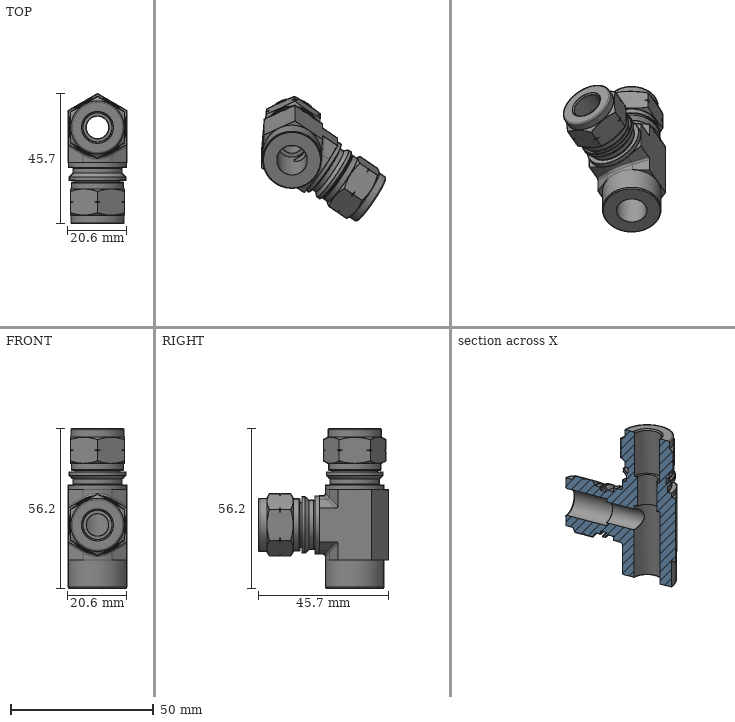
import cadquery as cq
import math

COS30 = math.cos(math.radians(30))
TAN30 = math.tan(math.radians(30))

body_flats = 20.6
body_radius = body_flats / 2
run_half_length = 12.4
branch_length = 12.4
crotch_fillet = 0.8

stub_diameter = 20.6
stub_end_z = -22.4
stub_chamfer_radial = 0.3
stub_chamfer_axial = 0.5

run_collar_diameter = 20.6
branch_collar_diameter = 20.41
collar_end = 14.0
shank_diameter = 17.4
shank_chamfer_radial = 0.15
shank_chamfer_axial = 0.4
cone_start = 16.1
flange_diameter = 19.9
flange_start = 17.4
flange_end = 18.6
flange_rim_width = 0.3
neck_diameter = 15.87
skirt_start = 19.2
skirt_diameter = 18.4
skirt_chamfer_radial = 0.15
skirt_chamfer_axial = 0.35
nut_start = 21.55
nut_end = 30.9
nut_flats = 19.0
nut_face_diameter = 18.7
crown_diameter = 18.7
arm_end = 33.83
crown_fillet = 0.5

notch_depth = 0.5
notch_half_width = 0.25

bore_diameter = 7.9
stub_bore_diameter = 10.7
stub_bore_top = stub_bore_diameter / 2
socket_diameter = 10.2
socket_depth = 17.0
socket_chamfer = 0.5


def cylinder(diameter, start, end):
    """Solid cylinder on the Z axis between two heights."""
    return cq.Workplane("XY").workplane(offset=start).circle(diameter / 2).extrude(end - start)


def revolve_about_z(points):
    """Revolve a closed (radius, height) outline around the Z axis."""
    return cq.Workplane("XZ").polyline(points).close().revolve(360, (0, 0, 0), (0, 1, 0))


def to_branch(shape):
    """Turn a shape built along +Z so that it points along -Y."""
    return shape.rotate((0, 0, 0), (1, 0, 0), 90)


def body_bar(start, end, rounded_back):
    """Hexagonal bar with flats facing +-X; the -Y corner, and the +Y one if asked, is rounded."""
    side_y = body_radius * TAN30
    tangent_x = body_radius / 2
    tangent_y = body_radius * COS30
    outline = (
        cq.Workplane("XY").workplane(offset=start)
        .moveTo(body_radius, side_y)
        .lineTo(body_radius, -side_y)
        .lineTo(tangent_x, -tangent_y)
        .threePointArc((0, -body_radius), (-tangent_x, -tangent_y))
        .lineTo(-body_radius, -side_y)
        .lineTo(-body_radius, side_y)
    )
    if rounded_back:
        outline = outline.lineTo(-tangent_x, tangent_y)
        outline = outline.threePointArc((0, body_radius), (tangent_x, tangent_y))
    else:
        outline = outline.lineTo(0, body_radius / COS30)
    return outline.close().extrude(end - start)


def make_body():
    """Run and branch bars joined, with the crotch between them filleted."""
    run = body_bar(-run_half_length, run_half_length, rounded_back=False)
    branch = to_branch(body_bar(0, branch_length, rounded_back=True))
    body = run.union(branch)
    reach = body_radius / COS30
    margin = crotch_fillet / 8
    crotch = cq.selectors.BoxSelector(
        (-body_radius + margin, -reach, -reach), (body_radius - margin, -margin, reach)
    )
    return body.edges(crotch).fillet(crotch_fillet)


def make_nut_hexagon():
    """Hexagon of the nut with both ends chamfered at 30 degrees and notched corners."""
    corner_diameter = nut_flats / COS30
    corner_radius = corner_diameter / 2
    face_radius = nut_face_diameter / 2
    chamfer_height = (corner_radius - face_radius) * TAN30
    hexagon = (
        cq.Workplane("XY").workplane(offset=nut_start)
        .polygon(6, corner_diameter).extrude(nut_end - nut_start)
        .rotate((0, 0, 0), (0, 0, 1), 30)
    )
    middle = (nut_start + nut_end) / 2
    envelope = revolve_about_z([
        (0, nut_start),
        (face_radius, nut_start),
        (corner_radius, nut_start + chamfer_height),
        (corner_radius, middle - notch_half_width),
        (corner_radius - notch_depth, middle),
        (corner_radius, middle + notch_half_width),
        (corner_radius, nut_end - chamfer_height),
        (face_radius, nut_end),
        (0, nut_end),
    ])
    return hexagon.intersect(envelope)


def make_tube_end(collar_diameter, collar_start):
    """Solid tube end along +Z: collar, shank, coned flange, neck, skirt, nut and crown."""
    shank_radius = shank_diameter / 2
    flange_radius = flange_diameter / 2
    neck_radius = neck_diameter / 2
    skirt_radius = skirt_diameter / 2
    dish_radius = flange_radius - flange_rim_width
    dish_floor = flange_end - (dish_radius - neck_radius)
    turned = revolve_about_z([
        (0, collar_start),
        (collar_diameter / 2, collar_start),
        (collar_diameter / 2, collar_end),
        (shank_radius - shank_chamfer_radial, collar_end),
        (shank_radius, collar_end + shank_chamfer_axial),
        (shank_radius, cone_start),
        (flange_radius, flange_start),
        (flange_radius, flange_end),
        (dish_radius, flange_end),
        (neck_radius, dish_floor),
        (neck_radius, skirt_start),
        (skirt_radius - skirt_chamfer_radial, skirt_start),
        (skirt_radius, skirt_start + skirt_chamfer_axial),
        (skirt_radius, nut_start),
        (0, nut_start),
    ])
    crown = cylinder(crown_diameter, nut_end, arm_end).faces(">Z").edges().fillet(crown_fillet)
    return turned.union(make_nut_hexagon()).union(crown)


def make_socket():
    """Cutter for the tube socket with its chamfered mouth, along +Z."""
    socket_radius = socket_diameter / 2
    return revolve_about_z([
        (0, arm_end - socket_depth),
        (socket_radius, arm_end - socket_depth),
        (socket_radius, arm_end - socket_chamfer),
        (socket_radius + socket_chamfer, arm_end),
        (0, arm_end),
    ])


def make_stub():
    """Plain round end below the body with a chamfered rim."""
    return cylinder(stub_diameter, stub_end_z, -run_half_length).faces("<Z").chamfer(
        stub_chamfer_axial, stub_chamfer_radial
    )


result = (
    make_body()
    .union(make_stub())
    .union(make_tube_end(run_collar_diameter, run_half_length))
    .union(to_branch(make_tube_end(branch_collar_diameter, branch_length)))
    .cut(cylinder(bore_diameter, stub_end_z, arm_end))
    .cut(cylinder(stub_bore_diameter, stub_end_z, stub_bore_top))
    .cut(to_branch(cylinder(bore_diameter, 0, arm_end)))
    .cut(make_socket())
    .cut(to_branch(make_socket()))
    .clean()
)